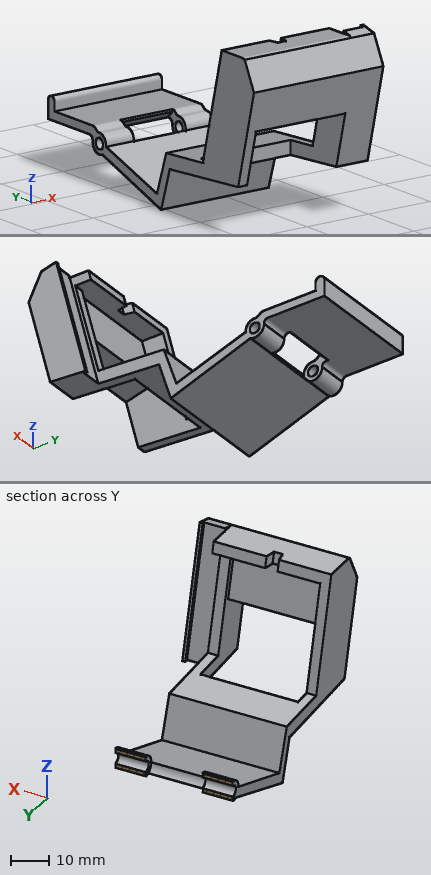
import cadquery as cq
import math

body_width = 35.0
overall_width = 42.2
length = 90.3

lip_width = 2.9
lip_top = 19.9
flap_bottom = 13.3
flap_top = 16.0

hinge_y, hinge_z = 67.8, 11.7
hinge_radius = 3.0
pin_diameter = 3.2
bend_inner_radius = 1.35
bend_y = hinge_y + hinge_radius + bend_inner_radius
bend_z = flap_bottom - bend_inner_radius
hinge_back = hinge_y + hinge_radius
hinge_top = hinge_z + hinge_radius
hinge_gap_width = 16.9
gap_edge_height = 0.7

arm_outer_end, arm_inner_end = (66.45, 9.0), (64.8, 11.6)
elbow_outer, elbow_inner = (40.7, 0.0), (42.5, 4.0)
shelf_outer, shelf_inner = (36.9, 11.9), (38.5, 16.0)
shelf_root_z = 17.0

lean = 0.254
brow_z = 41.3
foot_z = 14.0
foot = (lean * (brow_z - foot_z), foot_z)
crown_front_y = 4.1
crown_front_z = 49.3
column_top = 49.6
column_back_top_y = 14.2
side_wall = 2.9

rim_back_y = 8.85
rim_width = 0.9
rim_step = 0.9
panel_back_y = rim_back_y - rim_step
thin_back_y = 7.2
cap_thickness = 3.2

window_right = 32.0
window_top = 29.4
window_back = 27.0

notch_x = 17.4
notch_mouth = 4.1
notch_floor_width = 2.5
notch_floor_y = 11.2


def back_y(top_y, top_z, z):
    """Y at height z on a plane parallel to the column front."""
    return top_y + lean * (top_z - z)


def extrude_profile(points, x_start, x_end):
    return cq.Workplane("YZ", origin=(x_start, 0, 0)).polyline(points).close().extrude(x_end - x_start)


def cylinder(radius, x_start, x_end):
    profile = cq.Workplane("YZ", origin=(x_start, 0, 0)).center(hinge_y, hinge_z).circle(radius)
    return profile.extrude(x_end - x_start)


def make_flap():
    lip_inner_y = length - lip_width
    lip_radius = lip_width / 2
    diagonal = math.sqrt(0.5)
    step_middle = ((hinge_back + hinge_y) / 2, (flap_top + hinge_top) / 2)
    return (
        cq.Workplane("YZ")
        .moveTo(bend_y, flap_bottom)
        .lineTo(length, flap_bottom)
        .lineTo(length, lip_top - lip_radius)
        .threePointArc((length - lip_radius, lip_top), (lip_inner_y, lip_top - lip_radius))
        .lineTo(lip_inner_y, flap_top)
        .lineTo(hinge_back, flap_top)
        .tangentArcPoint(step_middle, relative=False)
        .tangentArcPoint((hinge_y, hinge_top), relative=False)
        .lineTo(hinge_y, hinge_z)
        .lineTo(hinge_back, bend_z)
        .threePointArc(
            (bend_y - bend_inner_radius * diagonal, bend_z + bend_inner_radius * diagonal),
            (bend_y, flap_bottom),
        )
        .close()
        .extrude(body_width)
    )


def make_arm_and_column():
    column_root = (back_y(column_back_top_y, column_top, shelf_root_z), shelf_root_z)
    crown_break_y = crown_front_y + (column_top - crown_front_z) / lean
    points = [
        (hinge_y, hinge_z), arm_outer_end, elbow_outer, shelf_outer, foot,
        (0, brow_z), (crown_front_y, crown_front_z), (crown_break_y, column_top),
        (column_back_top_y, column_top), column_root,
        shelf_inner, elbow_inner, arm_inner_end,
    ]
    return extrude_profile(points, 0, body_width)


def make_panel(top_y, x_start, x_end):
    """Leaning slab whose top is square to its faces and whose foot follows the shelf underside."""
    top_z = crown_front_z + lean * (top_y - crown_front_y)
    foot_slope = (shelf_outer[1] - foot_z) / (shelf_outer[0] - foot[0])
    line_z = foot_z - foot_slope * foot[0]
    bottom_y = back_y(top_y, top_z, line_z) / (1 + lean * foot_slope)
    points = [
        foot, (0, brow_z), (crown_front_y, crown_front_z),
        (top_y, top_z), (bottom_y, line_z + foot_slope * bottom_y),
    ]
    return extrude_profile(points, x_start, x_end)


def make_recess(front_top_y, x_end):
    """Space behind a leaning plane, under the cap and above the shelf."""
    cap_bottom = column_top - cap_thickness
    front_top_z = crown_front_z + lean * (front_top_y - crown_front_y)
    shelf_slope = (shelf_inner[1] - shelf_root_z) / (
        shelf_inner[0] - back_y(column_back_top_y, column_top, shelf_root_z)
    )

    def shelf_z(y):
        return shelf_inner[1] + shelf_slope * (y - shelf_inner[0])

    front_y = back_y(front_top_y, front_top_z, shelf_root_z)
    points = [
        (front_y, shelf_z(front_y)), (window_back, shelf_z(window_back)), (window_back, cap_bottom),
        (back_y(front_top_y, front_top_z, cap_bottom), cap_bottom),
    ]
    return extrude_profile(points, side_wall, x_end)


def make_notch():
    """Tapered notch leaning with the column back."""
    mouth_y = back_y(column_back_top_y, column_top, column_top - cap_thickness)
    half_mouth, half_floor = notch_mouth / 2, notch_floor_width / 2

    def section(z):
        shift = lean * (column_top - z)
        points = [
            (notch_x - half_mouth, mouth_y + shift),
            (notch_x - half_floor, notch_floor_y + shift),
            (notch_x + half_floor, notch_floor_y + shift),
            (notch_x + half_mouth, mouth_y + shift),
        ]
        return cq.Wire.makePolygon([cq.Vector(x, y, z) for x, y in points], close=True)

    sections = [section(column_top - cap_thickness), section(column_top)]
    return cq.Workplane(cq.Solid.makeLoft(sections, True))


def make_window():
    """Opening through column and shelf, its top square to the column front."""
    window_front_y = lean * (brow_z - window_top)
    window_top_rear = window_top + lean * (window_back - window_front_y)
    points = [(0, 0), (window_back, 0), (window_back, window_top_rear), (0, window_top - lean * window_front_y)]
    return extrude_profile(points, side_wall, window_right)


def make_hinge_gap():
    """Gap between the barrels, undercutting the flap at 45 degrees below a short upright edge."""
    gap_start = (body_width - hinge_gap_width) / 2
    gap_end = gap_start + hinge_gap_width
    edge_z = flap_top - gap_edge_height
    undercut = edge_z - flap_bottom
    points = [
        (hinge_y, flap_top), (hinge_back, flap_top), (hinge_back, edge_z),
        (hinge_back + undercut, flap_bottom), (hinge_back, hinge_z - hinge_radius),
        (hinge_y, hinge_z - hinge_radius),
    ]
    return extrude_profile(points, gap_start, gap_end).union(cylinder(hinge_radius, gap_start, gap_end))


body = make_flap().union(cylinder(hinge_radius, 0, body_width)).union(make_arm_and_column())
body = body.cut(make_recess(rim_back_y, body_width)).cut(make_recess(thin_back_y, window_right)).cut(make_notch())
body = body.union(make_panel(panel_back_y, body_width, overall_width))
body = body.union(make_panel(rim_back_y, overall_width - rim_width, overall_width))
body = body.cut(make_window())
result = body.cut(make_hinge_gap()).cut(cylinder(pin_diameter / 2, 0, body_width))